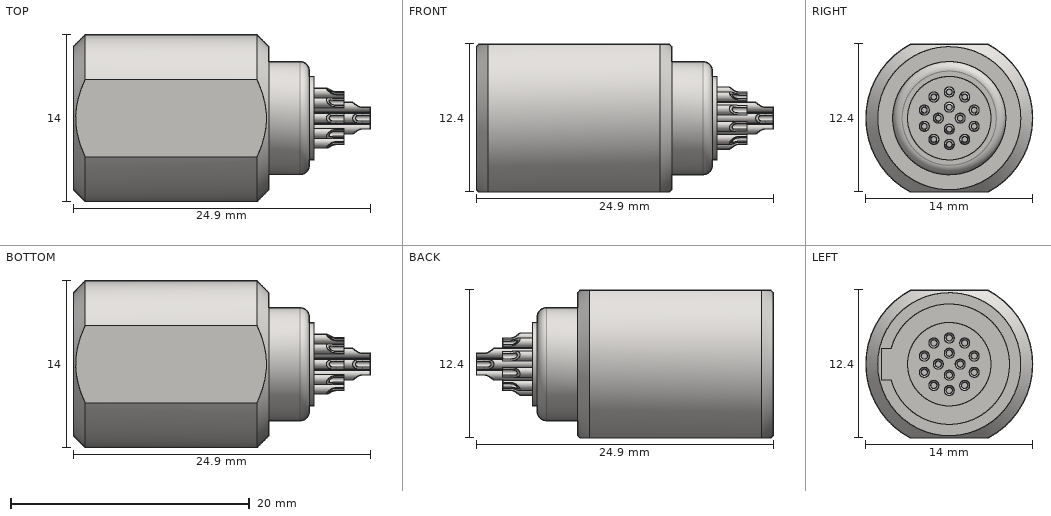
import cadquery as cq


body_length = 16.4
body_radius = 7.0
body_chamfer = 1.0
flat_height = 12.4

collar_radius = 4.75
collar_end = 19.8
collar_fillet = 0.8

bore_radius = 5.05
bore_depth = 8.5
key_reach = 5.7
key_width = 2.65

insert_radius = 3.5
insert_front = 0.7
insert_end = 20.2

outer_ring = (10, 2.2, 22.7)
inner_ring = (4, 0.92, 24.9)
pin_radius = 0.42
contact_hole_radius = 0.26
contact_hole_depth = 5.0
contact_countersink = pin_radius - contact_hole_radius

cup_length = 1.48
cup_hole_radius = 0.24
cup_ramp_run = 0.56
cup_blend_radius = 0.8


def cylinder(start, end, radius):
    """Solid cylinder on the X axis."""
    return cq.Workplane("YZ").workplane(offset=start).circle(radius).extrude(end - start)


def make_body():
    """Chamfered barrel trimmed to the flats, with the rear collar."""
    barrel = cylinder(0, body_length, body_radius).edges().chamfer(body_chamfer)
    flats = cq.Workplane("XY").box(
        body_length, 2 * body_radius, flat_height, centered=(False, True, True)
    )
    collar = cylinder(body_length, collar_end, collar_radius)
    collar = collar.faces(">X").edges().fillet(collar_fillet)
    return barrel.intersect(flats).union(collar)


def make_socket():
    """Volume of the mating bore and its keyway."""
    keyway = cq.Workplane("XY").box(
        bore_depth, key_reach, key_width, centered=(False, False, True)
    )
    return cylinder(0, bore_depth, bore_radius).union(keyway)


def make_pin(pin_end):
    """Pin on the X axis with its solder cup open towards +Z."""
    cup_start = pin_end - cup_length
    pin = cylinder(insert_end, pin_end, pin_radius)
    cup_hole = cylinder(cup_start, pin_end, cup_hole_radius)
    cut = (
        cq.Workplane("XZ")
        .moveTo(cup_start, pin_radius)
        .lineTo(cup_start + cup_ramp_run, 0)
        .lineTo(pin_end, 0)
        .lineTo(pin_end, pin_radius)
        .close()
        .extrude(pin_radius, both=True)
    )
    ramp_foot = cq.selectors.NearestToPointSelector((cup_start + cup_ramp_run, 0, 0))
    cut = cut.edges("|Y").edges(ramp_foot).fillet(cup_blend_radius)
    return pin.cut(cup_hole).cut(cut)


def make_contact_hole():
    """Countersunk blind hole on the X axis, entering the insert's front face."""
    hole_end = insert_front + contact_hole_depth
    return (
        cq.Workplane("XY")
        .moveTo(insert_front, 0)
        .lineTo(insert_front, pin_radius)
        .lineTo(insert_front + contact_countersink, contact_hole_radius)
        .lineTo(hole_end, contact_hole_radius)
        .lineTo(hole_end, 0)
        .close()
        .revolve(360, (0, 0, 0), (1, 0, 0))
    )


def ring_copies(feature, count, pitch_radius):
    """Copies of a feature spaced evenly about the X axis, the first one at +Z."""
    first = feature.translate((0, 0, pitch_radius))
    step = 360 / count
    return [first.rotate((0, 0, 0), (1, 0, 0), i * step) for i in range(count)]


result = make_body().cut(make_socket()).union(cylinder(insert_front, insert_end, insert_radius))

for count, pitch_radius, pin_end in (outer_ring, inner_ring):
    for pin in ring_copies(make_pin(pin_end), count, pitch_radius):
        result = result.union(pin)
    for hole in ring_copies(make_contact_hole(), count, pitch_radius):
        result = result.cut(hole)